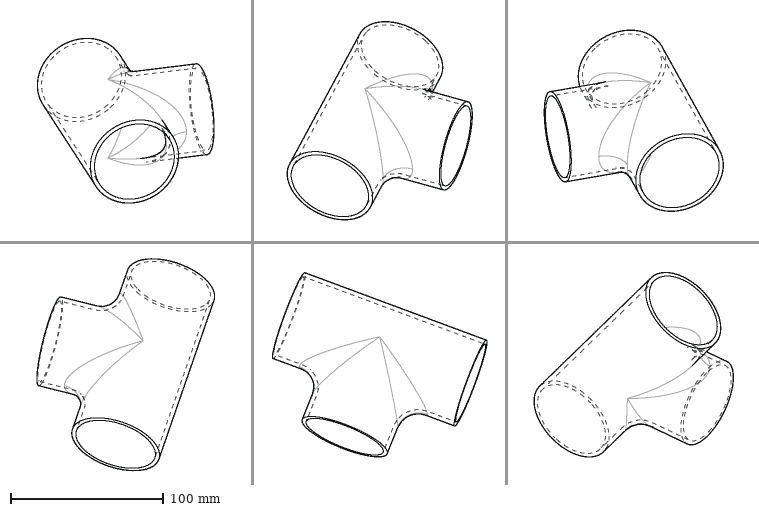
import cadquery as cq

run_length = 128.0
branch_reach = 64.0
outer_diameter = 60.3
bore_diameter = 54.5
outer_crotch_radius = 15.0

wall = (outer_diameter - bore_diameter) / 2
inner_crotch_radius = outer_crotch_radius + wall


def rounded_tee(diameter, crotch_radius):
    """Solid T of two equal round bars meeting at the origin, its crotches filleted."""
    run = cq.Workplane("YZ").circle(diameter / 2).extrude(run_length / 2, both=True)
    branch = cq.Workplane("XZ").circle(diameter / 2).extrude(-branch_reach)
    return run.union(branch).edges("%ELLIPSE").fillet(crotch_radius)


body = rounded_tee(outer_diameter, outer_crotch_radius)
bore = rounded_tee(bore_diameter, inner_crotch_radius)
result = body.cut(bore)